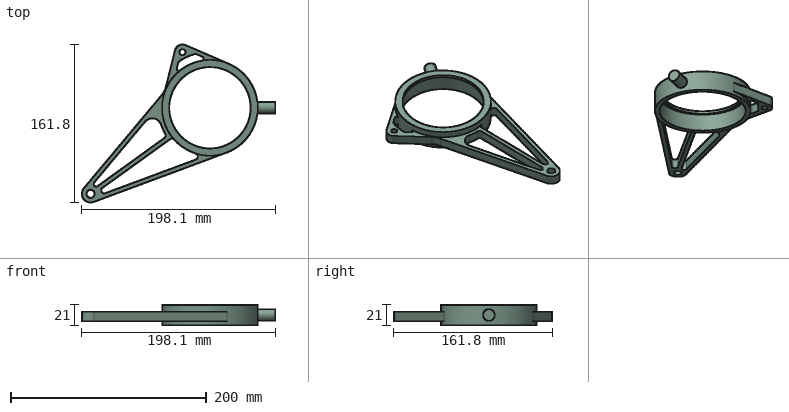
import math

import cadquery as cq

RING_RADIUS = 49.0
RING_HEIGHT = 21.0
LIP_RADIUS = 41.5
LIP_THICKNESS = 3.0
BORE_RADIUS = 44.0

PLATE_BOTTOM = 4.0
PLATE_THICKNESS = 10.0

LEG_END = (-122.06, -88.0)
LEG_END_RADIUS = 9.0
LEG_HOLE_DIAMETER = 8.0
LEG_UPPER_TANGENT_RADIUS = 46.2
LEG_RIM = 4.5
SPOKE_WIDTH = 4.5
UPPER_POCKET_RADIUS = 53.0
UPPER_POCKET_TIP_FILLET = 2.5
UPPER_POCKET_SPOKE_FILLET = 3.0
UPPER_POCKET_WIDE_FILLET = 9.5
LOWER_POCKET_TIP_FILLET = 3.0
LOWER_POCKET_RING_FILLET = 3.3

EAR_END = (-28.06, 56.8)
EAR_END_RADIUS = 8.0
EAR_HOLE_DIAMETER = 6.0
EAR_LEFT_RIM = 6.5
EAR_RIGHT_RIM = 4.3
EAR_POCKET_RADIUS = 57.0
EAR_POCKET_INNER_FILLET = 2.0
EAR_POCKET_OUTER_FILLET = 4.0

EAR_LEG_FILLET = 20.0

PIN_DIAMETER = 12.0
PIN_END_X = 67.0
PIN_Z = RING_HEIGHT / 2

ORIGIN = (0.0, 0.0)


def tangent_normal(end, end_radius, ring_radius, side):
    """Normal angle of a line touching a ring circle and an arm's end circle (side +1: counterclockwise)."""
    arm_angle = math.atan2(end[1], end[0])
    return arm_angle + side * math.acos((ring_radius - end_radius) / math.hypot(*end))


def offset_point(center, angle, distance):
    return (center[0] + distance * math.cos(angle), center[1] + distance * math.sin(angle))


def foot(line):
    """Point of the line nearest to the ring axis."""
    return offset_point(ORIGIN, *line)


def crossing(line_a, line_b):
    """Point where two lines meet."""
    (angle_a, distance_a), (angle_b, distance_b) = line_a, line_b
    spread = math.sin(angle_b - angle_a)
    x = (distance_a * math.sin(angle_b) - distance_b * math.sin(angle_a)) / spread
    y = (distance_b * math.cos(angle_a) - distance_a * math.cos(angle_b)) / spread
    return (x, y)


def plate_plane():
    return cq.Workplane("XY", origin=(0, 0, PLATE_BOTTOM))


def plate_prism(points):
    return plate_plane().polyline(points).close().extrude(PLATE_THICKNESS)


def plate_disc(center, radius):
    return plate_plane().center(*center).circle(radius).extrude(PLATE_THICKNESS)


def fillet_upright(body, point, radius):
    """Round the upright plate edge nearest to an XY point."""
    middle = (point[0], point[1], PLATE_BOTTOM + PLATE_THICKNESS / 2)
    return body.edges("|Z").edges(cq.selectors.NearestToPointSelector(middle)).fillet(radius)


def line_circle(line, radius, side):
    """Point where a line leaves a circle about the ring axis (side +1 is counterclockwise of the foot)."""
    angle, distance = line
    return offset_point(ORIGIN, angle + side * math.acos(distance / radius), radius)


def wedge(line_a, line_b):
    """Triangle between two lines, from where they meet back to the feet inside the ring."""
    return plate_prism([crossing(line_a, line_b), foot(line_a), foot(line_b)])


leg_angle = math.atan2(LEG_END[1], LEG_END[0])
leg_upper_normal = tangent_normal(LEG_END, LEG_END_RADIUS, LEG_UPPER_TANGENT_RADIUS, -1)
leg_lower_normal = tangent_normal(LEG_END, LEG_END_RADIUS, RING_RADIUS, 1)
ear_left_normal = tangent_normal(EAR_END, EAR_END_RADIUS, RING_RADIUS, 1)
ear_right_normal = tangent_normal(EAR_END, EAR_END_RADIUS, RING_RADIUS, -1)

leg_upper_edge = (leg_upper_normal, LEG_UPPER_TANGENT_RADIUS)
leg_lower_edge = (leg_lower_normal, RING_RADIUS)
ear_left_edge = (ear_left_normal, RING_RADIUS)
ear_right_edge = (ear_right_normal, RING_RADIUS)


def arm(end, end_radius, edge_a, edge_b):
    """Tapered arm from the ring axis to a rounded end."""
    outline = [
        ORIGIN,
        foot(edge_a),
        offset_point(end, edge_a[0], end_radius),
        end,
        offset_point(end, edge_b[0], end_radius),
        foot(edge_b),
    ]
    return plate_prism(outline).union(plate_disc(end, end_radius))


def make_plate():
    plate = plate_disc(ORIGIN, RING_RADIUS)
    plate = plate.union(arm(LEG_END, LEG_END_RADIUS, leg_upper_edge, leg_lower_edge))
    plate = plate.union(arm(EAR_END, EAR_END_RADIUS, ear_left_edge, ear_right_edge))
    return fillet_upright(plate, crossing(leg_upper_edge, ear_left_edge), EAR_LEG_FILLET)


def upper_leg_pocket():
    rim_side = (leg_upper_normal, LEG_UPPER_TANGENT_RADIUS - LEG_RIM)
    spoke_side = (leg_angle - math.pi / 2, SPOKE_WIDTH / 2)
    pocket = wedge(rim_side, spoke_side).cut(plate_disc(ORIGIN, UPPER_POCKET_RADIUS))
    pocket = fillet_upright(pocket, crossing(rim_side, spoke_side), UPPER_POCKET_TIP_FILLET)
    spoke_corner = line_circle(spoke_side, UPPER_POCKET_RADIUS, 1)
    rim_corner = line_circle(rim_side, UPPER_POCKET_RADIUS, 1)
    pocket = fillet_upright(pocket, spoke_corner, UPPER_POCKET_SPOKE_FILLET)
    return fillet_upright(pocket, rim_corner, UPPER_POCKET_WIDE_FILLET)


def lower_leg_pocket():
    rim_side = (leg_lower_normal, RING_RADIUS - LEG_RIM)
    spoke_side = (leg_angle + math.pi / 2, SPOKE_WIDTH / 2)
    pocket = wedge(rim_side, spoke_side).cut(plate_disc(ORIGIN, RING_RADIUS))
    pocket = fillet_upright(pocket, crossing(rim_side, spoke_side), LOWER_POCKET_TIP_FILLET)
    for side_line in (rim_side, spoke_side):
        pocket = fillet_upright(pocket, line_circle(side_line, RING_RADIUS, -1), LOWER_POCKET_RING_FILLET)
    return pocket


def ear_pocket():
    left_side = (ear_left_normal, RING_RADIUS - EAR_LEFT_RIM)
    right_side = (ear_right_normal, RING_RADIUS - EAR_RIGHT_RIM)
    pocket = wedge(left_side, right_side).intersect(plate_disc(ORIGIN, EAR_POCKET_RADIUS))
    pocket = pocket.cut(plate_disc(ORIGIN, RING_RADIUS))
    for side_line, side in ((left_side, -1), (right_side, 1)):
        inner_corner = line_circle(side_line, RING_RADIUS, side)
        outer_corner = line_circle(side_line, EAR_POCKET_RADIUS, side)
        pocket = fillet_upright(pocket, inner_corner, EAR_POCKET_INNER_FILLET)
        pocket = fillet_upright(pocket, outer_corner, EAR_POCKET_OUTER_FILLET)
    return pocket


def make_pin():
    return cq.Workplane("YZ").center(0, PIN_Z).circle(PIN_DIAMETER / 2).extrude(PIN_END_X)


def ring_bore():
    lip_opening = cq.Workplane("XY").circle(LIP_RADIUS).extrude(RING_HEIGHT)
    wide_bore = cq.Workplane("XY").circle(BORE_RADIUS).extrude(RING_HEIGHT - LIP_THICKNESS)
    return lip_opening.union(wide_bore)


plate = make_plate()
plate = plate.cut(upper_leg_pocket()).cut(lower_leg_pocket()).cut(ear_pocket())
plate = plate.cut(plate_disc(LEG_END, LEG_HOLE_DIAMETER / 2))
plate = plate.cut(plate_disc(EAR_END, EAR_HOLE_DIAMETER / 2))

ring = cq.Workplane("XY").circle(RING_RADIUS).extrude(RING_HEIGHT)

result = ring.union(plate).union(make_pin()).cut(ring_bore())